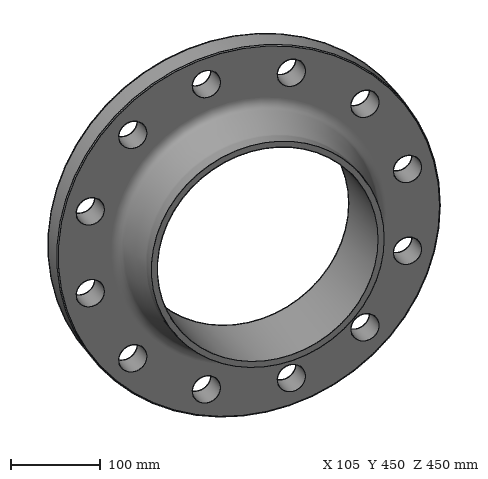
import cadquery as cq
import math

total_length = 105.0
raised_face_height = 3.0
flange_back = 38.0
weld_end_length = 17.5
weld_end_start = total_length - weld_end_length

flange_diameter = 450.0
raised_face_diameter = 345.0
raised_face_foot_diameter = 347.5
weld_end_diameter = 273.0
bore_diameter = 258.8

hub_half_angle = math.radians(17.5)
flange_fillet_radius = 12.0
weld_end_fillet_radius = 9.0
rim_chamfer = 1.5

bolt_count = 12
bolt_hole_diameter = 33.0
bolt_circle_diameter = 385.0


def point_on_arc(center, radius, angle):
    """Point on a concave hub arc; the angle runs from the -radial direction toward -X."""
    return (center[0] - radius * math.sin(angle), center[1] - radius * math.cos(angle))


def make_body():
    """Revolve the half section (axial position, radius) about the X axis."""
    flange_radius = flange_diameter / 2
    raised_face_radius = raised_face_diameter / 2
    weld_end_radius = weld_end_diameter / 2
    bore_radius = bore_diameter / 2

    weld_arc_center = (
        weld_end_start + weld_end_fillet_radius * math.tan(hub_half_angle / 2),
        weld_end_radius + weld_end_fillet_radius,
    )
    weld_arc_start = point_on_arc(weld_arc_center, weld_end_fillet_radius, hub_half_angle)
    weld_arc_middle = point_on_arc(weld_arc_center, weld_end_fillet_radius, hub_half_angle / 2)
    weld_arc_end = point_on_arc(weld_arc_center, weld_end_fillet_radius, 0)

    cone_end_x = flange_back + flange_fillet_radius * (1 - math.sin(hub_half_angle))
    cone_end_radius = weld_end_radius + (weld_end_start - cone_end_x) * math.tan(hub_half_angle)
    flange_arc_center = (
        flange_back + flange_fillet_radius,
        cone_end_radius + flange_fillet_radius * math.cos(hub_half_angle),
    )
    right_angle = math.pi / 2
    middle_angle = (right_angle + hub_half_angle) / 2
    flange_arc_start = point_on_arc(flange_arc_center, flange_fillet_radius, right_angle)
    flange_arc_middle = point_on_arc(flange_arc_center, flange_fillet_radius, middle_angle)

    return (
        cq.Workplane("XY")
        .moveTo(0, bore_radius)
        .lineTo(0, raised_face_radius)
        .lineTo(raised_face_height, raised_face_foot_diameter / 2)
        .lineTo(raised_face_height, flange_radius - rim_chamfer)
        .lineTo(raised_face_height + rim_chamfer, flange_radius)
        .lineTo(flange_back - rim_chamfer, flange_radius)
        .lineTo(flange_back, flange_radius - rim_chamfer)
        .lineTo(*flange_arc_start)
        .threePointArc(flange_arc_middle, (cone_end_x, cone_end_radius))
        .lineTo(*weld_arc_start)
        .threePointArc(weld_arc_middle, weld_arc_end)
        .lineTo(total_length, weld_end_radius)
        .lineTo(total_length, bore_radius)
        .close()
        .revolve(360, (0, 0, 0), (1, 0, 0))
    )


def make_bolt_holes():
    """Cylinders along X, offset by half a pitch from the axes."""
    half_pitch = 180 / bolt_count
    return (
        cq.Workplane("YZ")
        .polarArray(bolt_circle_diameter / 2, half_pitch, 360, bolt_count)
        .circle(bolt_hole_diameter / 2)
        .extrude(flange_back)
    )


result = make_body().cut(make_bolt_holes())